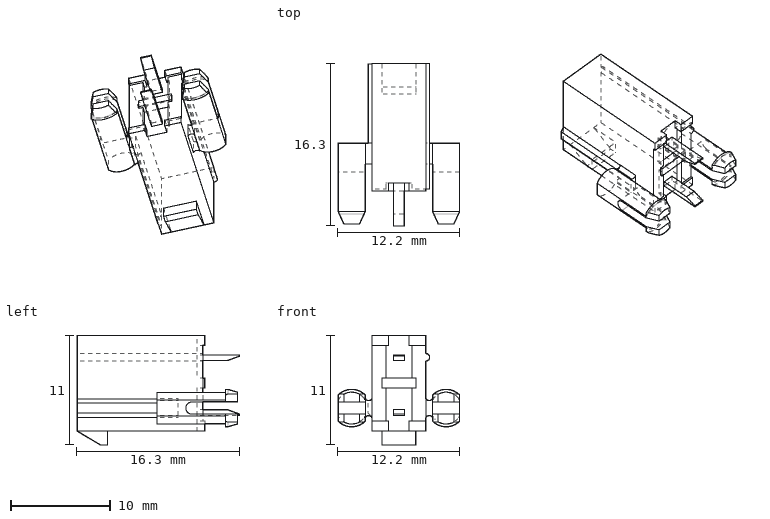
import cadquery as cq


overall_height = 11.0
body_width = 5.42
body_length = 12.8
body_height = 9.6
half_width = body_width / 2

tab_depth = 0.2
tab_height = 1.0
notch_width = 2.05
channel_width = 2.58
channel_depth = 0.8
rib_width = 3.4
rib_height = 1.0
tab_back_y = -(body_length - tab_depth)
channel_back_y = -(body_length - channel_depth)

pin_width = 1.12
pin_thickness = 0.58
pin_tip_thickness = 0.14
pin_taper_length = 1.2
pin_end_y = -16.3
pin_pitch = 5.5
upper_pin_z = 7.36
lower_pin_z = upper_pin_z - pin_pitch

latch_width = rib_width
latch_length = 3.05
latch_ramp_length = 2.35
latch_height = overall_height - body_height

key_radius = 0.38
key_z = 7.4
rail_projection = 0.37
rail_root_height = 1.85
rail_edge_height = 1.0
rail_rear_gap = 0.05

overall_width = 12.18
peg_width = 2.72
peg_x = (overall_width - peg_width) / 2
peg_z = 2.31
peg_radius = 1.58
peg_start_y = -8.0
peg_end_y = -16.1
head_radius = 1.885
head_start_y = -14.85
head_collar_length = 0.25
head_taper_y = head_start_y - head_collar_length
head_end_radius = 1.6
head_end_width = 1.58
slot_height = 1.22
slot_end_y = -10.9

web_length = 2.1
web_waist_height = 1.53
web_root_height = 1.93


def box(x0, x1, y0, y1, z0, z1):
    """Box between two opposite corners."""
    size = (abs(x1 - x0), abs(y1 - y0), abs(z1 - z0))
    corner = (min(x0, x1), min(y0, y1), min(z0, z1))
    return cq.Workplane("XY").box(*size, centered=False).translate(corner)


def centred_box(width, y0, y1, z0, z1):
    """Box that straddles the X = 0 plane."""
    return box(-width / 2, width / 2, y0, y1, z0, z1)


def xz_plane(y):
    """Workplane at the given Y whose extrusions run toward -Y."""
    return cq.Workplane("XZ", origin=(0, y, 0))


def side_profile(points, width):
    """Extrude a closed (Y, Z) outline symmetrically about X = 0."""
    return cq.Workplane("YZ").polyline(points).close().extrude(width / 2, both=True)


def make_housing():
    housing = centred_box(body_width, -body_length, 0, 0, body_height)
    channel_bottom = tab_height
    channel_top = body_height - tab_height
    housing = housing.cut(centred_box(body_width, -body_length, tab_back_y, channel_bottom, channel_top))
    housing = housing.cut(centred_box(channel_width, -body_length, channel_back_y, channel_bottom, channel_top))
    housing = housing.cut(centred_box(notch_width, -body_length, channel_back_y, 0, body_height))
    rib_bottom = (body_height - rib_height) / 2
    rib = centred_box(rib_width, -body_length, channel_back_y, rib_bottom, rib_bottom + rib_height)
    return housing.union(rib)


def make_pin(z, taper_side):
    """Pin tapered on its upper (+1) or lower (-1) face."""
    straight_z = z - taper_side * pin_thickness / 2
    tapered_z = z + taper_side * pin_thickness / 2
    tip_z = straight_z + taper_side * pin_tip_thickness
    outline = [
        (channel_back_y, straight_z),
        (pin_end_y, straight_z),
        (pin_end_y, tip_z),
        (pin_end_y + pin_taper_length, tapered_z),
        (channel_back_y, tapered_z),
    ]
    return side_profile(outline, pin_width)


def make_latch():
    outline = [
        (0, 0),
        (-latch_ramp_length, -latch_height),
        (-latch_length, -latch_height),
        (-latch_length, 0),
    ]
    return side_profile(outline, latch_width)


def make_key():
    """Half-round rib along the +X side."""
    return xz_plane(0).center(half_width, key_z).circle(key_radius).extrude(-tab_back_y)


def make_rail():
    """Bevelled rail along the -X side, from the rear face to the web."""
    outer_x = -half_width - rail_projection
    outline = [
        (-half_width, peg_z - rail_root_height / 2),
        (outer_x, peg_z - rail_edge_height / 2),
        (outer_x, peg_z + rail_edge_height / 2),
        (-half_width, peg_z + rail_root_height / 2),
    ]
    rail_length = -peg_start_y - rail_rear_gap
    return xz_plane(-rail_rear_gap).polyline(outline).close().extrude(rail_length)


def make_web():
    """Web on the +X side, waisted by a concave arc above and below."""
    inner_x = half_width
    outer_x = peg_x - peg_width / 2
    waist_x = (inner_x + outer_x) / 2
    root_z = web_root_height / 2
    waist_z = web_waist_height / 2
    return (
        xz_plane(peg_start_y)
        .center(0, peg_z)
        .moveTo(inner_x, -root_z)
        .threePointArc((waist_x, -waist_z), (outer_x, -root_z))
        .lineTo(outer_x, root_z)
        .threePointArc((waist_x, waist_z), (inner_x, root_z))
        .close()
        .extrude(web_length)
    )


def make_peg():
    """Split peg on the +X side with a barbed, tapered head."""
    profile = [
        (0, peg_start_y),
        (peg_radius, peg_start_y),
        (peg_radius, head_start_y),
        (head_radius, head_start_y),
        (head_radius, head_taper_y),
        (head_end_radius, peg_end_y),
        (0, peg_end_y),
    ]
    peg = cq.Workplane("XY").polyline(profile).close().revolve(360, (0, 0), (0, 1))
    side = peg_width / 2
    end_side = head_end_width / 2
    envelope = [
        (-side, peg_start_y),
        (side, peg_start_y),
        (side, head_start_y),
        (end_side, peg_end_y),
        (-end_side, peg_end_y),
        (-side, head_start_y),
    ]
    flats = cq.Workplane("XY").polyline(envelope).close().extrude(head_radius, both=True)
    slot_round_y = slot_end_y - slot_height / 2
    slot = centred_box(peg_width, peg_end_y, slot_round_y, -slot_height / 2, slot_height / 2)
    slot_round = (
        cq.Workplane("YZ")
        .center(slot_round_y, 0)
        .circle(slot_height / 2)
        .extrude(peg_width / 2, both=True)
    )
    return peg.intersect(flats).cut(slot).cut(slot_round).translate((peg_x, 0, peg_z))


result = make_housing()
result = result.union(make_pin(upper_pin_z, -1)).union(make_pin(lower_pin_z, 1))
result = result.union(make_latch()).union(make_key()).union(make_rail())
board_lock = make_peg().union(make_web())
result = result.union(board_lock).union(board_lock.mirror("YZ"))